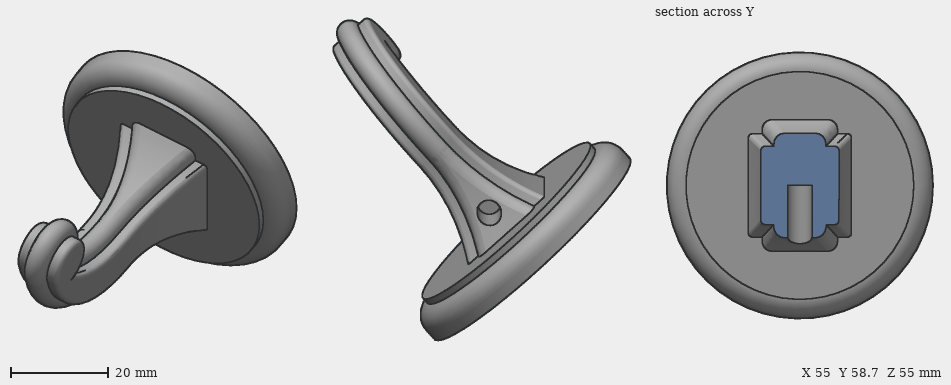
import cadquery as cq
import math


plate_radius = 27.5
plate_rim_straight = 2.5
plate_round = 4.0
plate_depth = plate_rim_straight + plate_round
pad_radius = plate_radius - plate_round
pad_depth = 8.0

reach = 58.7
scroll_radius = 8.0
scroll_y = scroll_radius - reach
scroll_z = 18.6

waist_y = -29.1
rib_width = 5.0
rib_half_width = rib_width / 2
rib_half_height = 7.5
layer_step = rib_half_width
upper_arc_radius = 25.0
side_flare_radius = 40.0
top_flare_radius = side_flare_radius + 2 * layer_step
edge_margin = 0.03
rib_round = rib_half_width - edge_margin
body_round = 1.0

screw_diameter = 5.0
screw_y = -13.2


def make_plate():
    rim = cq.Workplane("XZ").circle(plate_radius).extrude(plate_depth)
    rim = rim.faces("<Y").edges().fillet(plate_round)
    pad = cq.Workplane("XZ").circle(pad_radius).extrude(pad_depth)
    return rim.union(pad)


def flare_outline(plane, half_size, radius):
    """Outline that widens from half_size at the waist to the plate along two tangent arcs."""
    length = -pad_depth - waist_y

    def half_at(distance):
        return half_size + radius - math.sqrt(radius**2 - distance**2)

    middle = length / 2
    half_middle = half_at(middle)
    half_root = half_at(length)

    def place(y, across):
        return (y, across) if plane == "YZ" else (across, y)

    return (
        cq.Workplane(plane)
        .moveTo(*place(waist_y, -half_size))
        .lineTo(*place(waist_y, half_size))
        .threePointArc(place(waist_y + middle, half_middle), place(-pad_depth, half_root))
        .lineTo(*place(-pad_depth, -half_root))
        .threePointArc(place(waist_y + middle, -half_middle), place(waist_y, -half_size))
        .close()
    )


def make_root(half_width, inset, edge_round):
    """Flared root: the overlap of its side and top outlines, with rounded long edges."""
    side = flare_outline("YZ", rib_half_height - inset, side_flare_radius + inset)
    top = flare_outline("XY", half_width, top_flare_radius - inset)
    side_block = side.extrude(plate_radius, both=True)
    top_block = top.extrude(plate_radius, both=True)
    return side_block.intersect(top_block).edges("not(|X or |Z)").fillet(edge_round)


def make_curl(half_width, inset, edge_round):
    """Curved arm from the waist to the scroll, and the round scroll itself."""
    half_height = rib_half_height - inset
    disc_radius = scroll_radius - inset
    run = waist_y - scroll_y

    rise = scroll_z + half_height
    lower_radius = (run**2 + rise**2 - disc_radius**2) / (2 * (rise - disc_radius))
    lower_center_z = lower_radius - half_height
    tangent_angle = math.atan2(scroll_z - lower_center_z, run)

    upper_radius = upper_arc_radius + inset
    upper_center_z = half_height + upper_radius
    upper_angle = math.asin(run / upper_radius)

    def lower_point(angle):
        return (waist_y - lower_radius * math.cos(angle), lower_center_z + lower_radius * math.sin(angle))

    def upper_point(angle):
        return (waist_y - upper_radius * math.sin(angle), upper_center_z - upper_radius * math.cos(angle))

    arm = (
        cq.Workplane("YZ")
        .moveTo(waist_y, half_height)
        .threePointArc(upper_point(upper_angle / 2), upper_point(upper_angle))
        .lineTo(scroll_y, scroll_z)
        .lineTo(*lower_point(tangent_angle))
        .threePointArc(lower_point((tangent_angle - math.pi / 2) / 2), (waist_y, -half_height))
        .close()
        .extrude(half_width, both=True)
    )
    arm = arm.faces("<X or >X").edges("%CIRCLE").fillet(edge_round)

    scroll = cq.Workplane("YZ").center(scroll_y, scroll_z).circle(disc_radius)
    scroll = scroll.extrude(half_width, both=True)
    scroll = scroll.faces("<X or >X").edges().fillet(edge_round)
    return arm.union(scroll)


def make_layer(half_width, inset, edge_round):
    return make_root(half_width, inset, edge_round).union(make_curl(half_width, inset, edge_round))


def make_screw_hole():
    """Blind upright hole from below, ending at the middle of the arm."""
    hole = cq.Workplane("XY").center(0, screw_y).circle(screw_diameter / 2)
    return hole.extrude(-plate_radius)


rib = make_layer(rib_half_width, 0, rib_round)
body = make_layer(rib_half_width + layer_step, layer_step, body_round)
result = make_plate().union(rib).union(body).cut(make_screw_hole())